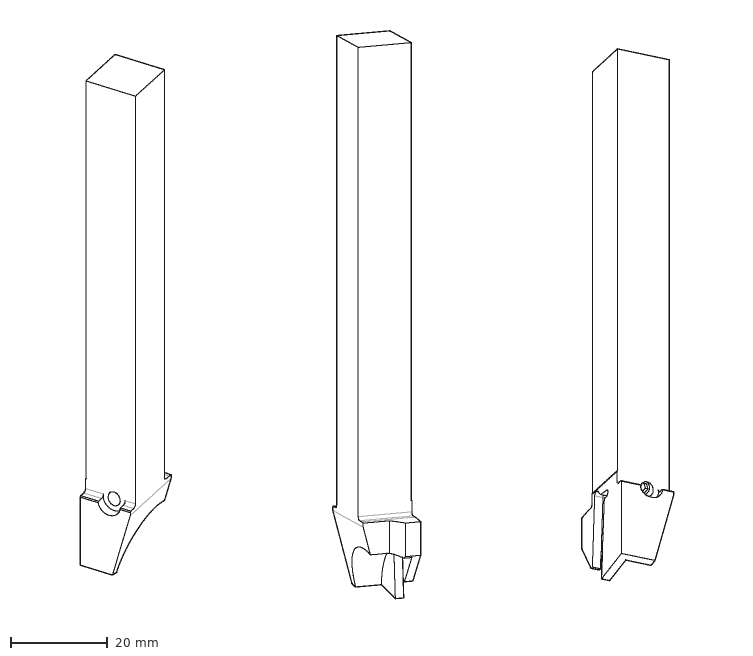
import cadquery as cq
import math

TOTAL_LENGTH = 119.0
WIDTH = 12.0
HEAD_DEPTH = 19.0

SHANK_FRONT = 2.1
SHANK_BACK = SHANK_FRONT + WIDTH
SIDE_STEP = 0.1
STEP_HEIGHT = 21.7

SHOULDER_HEIGHT = 18.6
SHOULDER_DROP = 0.4
SHOULDER_SLOPE_START = 16.1
SHOULDER_FILLET = 0.7
FRONT_CHAMFER = 0.2
FRONT_BOTTOM = 1.7
LOWER_JAW_TIP = 9.6
UPPER_JAW_CORNER = 11.1
UPPER_JAW_TIP_HEIGHT = 4.6
UPPER_JAW_TIP_OUTER = 14.6
UPPER_JAW_TIP_INNER = 13.9
HEAD_BOTTOM_WIDTH = 7.7
TAPER_TOP = 17.6

SEAT_DEPTH = 1.9
SEAT_INNER_TOP = (12.9, 20.6)
SEAT_CROWN = (12.1, 21.3)
SEAT_CROWN_END = (11.4, 21.0)
SEAT_SHOULDER = (10.0, 19.6)
SLIT_START = 7.3
SLIT_RADIUS = 0.7
SLIT_CENTER_HEIGHT = 18.7
SEAT_FRONT_TOP = 8.2
CLEARANCE_RADIUS = 11.2
CLEARANCE_CENTER = (13.1, 1.1)

BACK_LAND = 3.5
RELIEF_MIDDLE = (4.6, 18.0)
RELIEF_END = (6.2, 16.9)

SCREW_X = 6.9
SCREW_HEIGHT = 18.9
SCREW_RADIUS = 1.4
SCREW_TILT = 30.0
SCREW_SETBACK = 2.1
SCREW_LENGTH = 7.1
SOCKET_WIDTH = 1.9
SOCKET_DEPTH = 1.4
ACCESS_RADIUS = 2.6
ACCESS_HEIGHT = 18.7


def block(x_range, y_range, z_range):
    """Box between the given pairs of limits."""
    starts, ends = zip(x_range, y_range, z_range)
    sizes = [end - start for start, end in zip(starts, ends)]
    return cq.Workplane("XY").box(*sizes, centered=False).translate(starts)


def make_shank():
    return block((SIDE_STEP, WIDTH), (SHANK_FRONT, SHANK_BACK), (STEP_HEIGHT, TOTAL_LENGTH))


def make_head():
    """Side outline of the head in Y and Z, extruded across the width."""
    fillet_top = SHOULDER_HEIGHT + SHOULDER_FILLET
    arc_inset = SHOULDER_FILLET * (1 - math.sqrt(0.5))
    return (
        cq.Workplane("YZ")
        .moveTo(0, FRONT_BOTTOM)
        .lineTo(0, SHOULDER_HEIGHT - FRONT_CHAMFER)
        .lineTo(FRONT_CHAMFER, SHOULDER_HEIGHT)
        .lineTo(SHANK_FRONT - SHOULDER_FILLET, SHOULDER_HEIGHT)
        .threePointArc((SHANK_FRONT - arc_inset, SHOULDER_HEIGHT + arc_inset), (SHANK_FRONT, fillet_top))
        .lineTo(SHANK_FRONT, STEP_HEIGHT)
        .lineTo(SHANK_BACK, STEP_HEIGHT)
        .lineTo(SHANK_BACK, fillet_top)
        .threePointArc(
            (SHANK_BACK + arc_inset, SHOULDER_HEIGHT + arc_inset),
            (SHANK_BACK + SHOULDER_FILLET, SHOULDER_HEIGHT),
        )
        .lineTo(SHOULDER_SLOPE_START, SHOULDER_HEIGHT)
        .lineTo(HEAD_DEPTH, SHOULDER_HEIGHT - SHOULDER_DROP)
        .lineTo(HEAD_DEPTH, UPPER_JAW_CORNER)
        .lineTo(UPPER_JAW_TIP_OUTER, UPPER_JAW_TIP_HEIGHT)
        .lineTo(UPPER_JAW_TIP_INNER, UPPER_JAW_TIP_HEIGHT)
        .lineTo(LOWER_JAW_TIP, 0)
        .close()
        .extrude(WIDTH)
    )


def make_blade_seat():
    """Open slot between the jaws, ending in a narrow round-ended slit."""
    slit_top = SLIT_CENTER_HEIGHT + SLIT_RADIUS
    slit_bottom = SLIT_CENTER_HEIGHT - SLIT_RADIUS
    return (
        cq.Workplane("YZ")
        .moveTo(LOWER_JAW_TIP, 0)
        .lineTo(UPPER_JAW_TIP_INNER, UPPER_JAW_TIP_HEIGHT)
        .lineTo(*SEAT_INNER_TOP)
        .threePointArc(SEAT_CROWN, SEAT_CROWN_END)
        .lineTo(*SEAT_SHOULDER)
        .lineTo(SLIT_START, slit_top)
        .threePointArc((SLIT_START - SLIT_RADIUS, SLIT_CENTER_HEIGHT), (SLIT_START, slit_bottom))
        .lineTo(SEAT_FRONT_TOP, slit_bottom)
        .close()
        .extrude(SEAT_DEPTH)
    )


def make_clearance():
    """Round space beside the thin jaws."""
    return (
        cq.Workplane("YZ", origin=(SEAT_DEPTH, 0, 0))
        .center(*CLEARANCE_CENTER)
        .circle(CLEARANCE_RADIUS)
        .extrude(WIDTH)
    )


def make_side_taper():
    """Wedge that narrows the head towards its bottom."""
    return (
        cq.Workplane("XZ")
        .polyline([
            (WIDTH, TAPER_TOP),
            (HEAD_BOTTOM_WIDTH, FRONT_BOTTOM),
            (HEAD_BOTTOM_WIDTH, 0),
            (WIDTH, 0),
        ])
        .close()
        .extrude(-HEAD_DEPTH)
    )


def make_back_relief():
    return (
        cq.Workplane("XY")
        .moveTo(BACK_LAND, HEAD_DEPTH)
        .threePointArc(RELIEF_MIDDLE, RELIEF_END)
        .lineTo(WIDTH, RELIEF_END[1])
        .lineTo(WIDTH, HEAD_DEPTH)
        .close()
        .extrude(STEP_HEIGHT)
    )


def make_screw_access():
    """Round notch through the front shoulder, down to the shank face."""
    return (
        cq.Workplane("XZ")
        .center(SCREW_X, ACCESS_HEIGHT)
        .circle(ACCESS_RADIUS)
        .extrude(-SHANK_FRONT)
    )


def screw_plane(distance):
    """Plane across the screw axis, at a distance inward from the shank face."""
    tilt = math.radians(SCREW_TILT)
    axis_y = math.cos(tilt)
    axis_z = math.sin(tilt)
    return cq.Plane(
        origin=(SCREW_X, SHANK_FRONT + distance * axis_y, SCREW_HEIGHT + distance * axis_z),
        xDir=(1, 0, 0),
        normal=(0, axis_y, axis_z),
    )


def make_screw_hole():
    """Tilted blind hole, begun outside the shank face so that its mouth is open."""
    return (
        cq.Workplane(screw_plane(-SHANK_FRONT))
        .circle(SCREW_RADIUS)
        .extrude(SHANK_FRONT + SCREW_SETBACK + SCREW_LENGTH)
    )


def make_screw():
    """Set screw with a hexagonal socket in its outer end."""
    body = cq.Workplane(screw_plane(SCREW_SETBACK)).circle(SCREW_RADIUS).extrude(SCREW_LENGTH)
    corner_diameter = SOCKET_WIDTH / math.cos(math.pi / 6)
    socket = cq.Workplane(screw_plane(SCREW_SETBACK)).polygon(6, corner_diameter).extrude(SOCKET_DEPTH)
    return body.cut(socket)


def make_holder():
    holder = make_shank().union(make_head())
    for cutter in (
        make_blade_seat(),
        make_clearance(),
        make_side_taper(),
        make_back_relief(),
        make_screw_access(),
        make_screw_hole(),
    ):
        holder = holder.cut(cutter)
    return holder


holder = make_holder()
screw = make_screw()

result = cq.Compound.makeCompound([holder.val(), screw.val()])